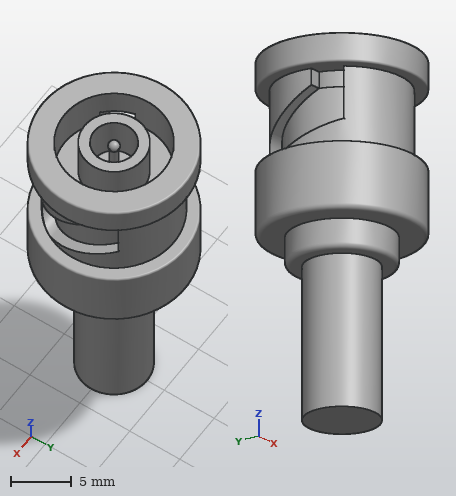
import cadquery as cq
import math

top_z = 31.5
flange_bottom_z = 28.95
socket_floor_z = 27.5
collar_top_z = 22.0
collar_bottom_z = 16.03
neck_bottom_z = 13.48

rim_radius = 7.15
body_radius = 6.0
neck_radius = 4.72
tube_radius = 3.3
socket_radius = 4.95
sleeve_outer_radius = 2.95
sleeve_inner_radius = 2.0
ball_radius = 0.5
pin_radius = 0.38

small_round = 0.2
large_round = 0.45

slot_entry_left_y = -1.2
slot_entry_right_y = -3.7
slot_lower_corner_z = 24.35
slot_end_y = 3.05
slot_end_z = 23.45
slot_end_radius = 1.42


def cylinder(radius, lower_z, upper_z):
    """Cylinder about Z between two heights, with its seam on the -Y side, clear of the slots."""
    base = cq.Plane(origin=(0, 0, lower_z), xDir=(0, -1, 0), normal=(0, 0, 1))
    return cq.Workplane(base).circle(radius).extrude(upper_z - lower_z)


def tangent_point(start, side):
    """Point where a line from start touches the round slot end; side is +1 upper, -1 lower."""
    away_y = start[0] - slot_end_y
    away_z = start[1] - slot_end_z
    distance = math.hypot(away_y, away_z)
    turn = math.acos(slot_end_radius / distance)
    angle = math.atan2(away_z, away_y) - side * turn
    return (
        slot_end_y + slot_end_radius * math.cos(angle),
        slot_end_z + slot_end_radius * math.sin(angle),
    )


def bayonet_slot():
    """Cutter running across the -X half of the wall."""
    upper_corner = (slot_entry_left_y, socket_floor_z)
    lower_corner = (slot_entry_right_y, slot_lower_corner_z)
    return (
        cq.Workplane("YZ")
        .moveTo(slot_entry_right_y, flange_bottom_z)
        .lineTo(slot_entry_left_y, flange_bottom_z)
        .lineTo(*upper_corner)
        .lineTo(*tangent_point(upper_corner, 1))
        .threePointArc(
            (slot_end_y + slot_end_radius, slot_end_z),
            tangent_point(lower_corner, -1),
        )
        .lineTo(*lower_corner)
        .close()
        .extrude(-rim_radius)
    )


flange = cylinder(rim_radius, flange_bottom_z, top_z).edges().fillet(small_round)
collar = (
    cylinder(rim_radius, collar_bottom_z, collar_top_z)
    .edges(">Z").fillet(small_round)
    .edges("<Z").fillet(large_round)
)
neck = cylinder(neck_radius, neck_bottom_z, collar_bottom_z).edges("<Z").fillet(large_round)
tube = cylinder(tube_radius, 0, neck_bottom_z)

wall = cylinder(body_radius, collar_top_z, flange_bottom_z)
for slot_angle in (0, 180):
    wall = wall.cut(bayonet_slot().rotate((0, 0, 0), (0, 0, 1), slot_angle))
core = cylinder(socket_radius, collar_top_z, socket_floor_z)
shell = flange.union(wall).union(core).union(collar).union(neck).union(tube)

shell = shell.cut(cylinder(socket_radius, socket_floor_z, top_z))
sleeve = cylinder(sleeve_outer_radius, socket_floor_z, top_z).cut(
    cylinder(sleeve_inner_radius, socket_floor_z, top_z)
)
ball_z = top_z - ball_radius
pin = cylinder(pin_radius, socket_floor_z, ball_z)
ball = cq.Workplane("XY").sphere(ball_radius).translate((0, 0, ball_z))
result = shell.union(sleeve).union(pin).union(ball)